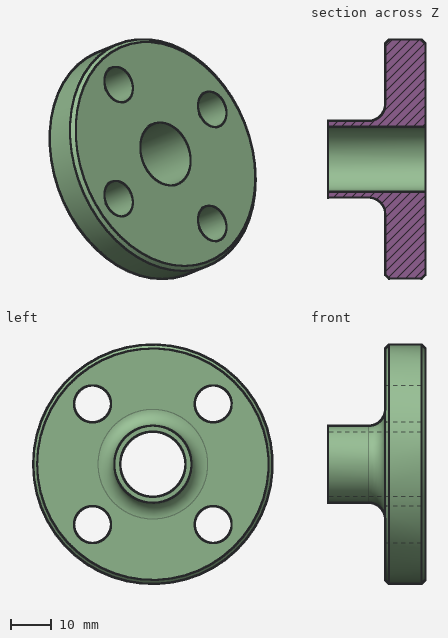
import cadquery as cq

flange_diameter = 59.0
flange_thickness = 10.0
rim_chamfer = 1.0

total_length = 24.0
neck_diameter = 19.0
bore_diameter = 16.0
neck_fillet = 4.0

bolt_hole_count = 4
bolt_hole_diameter = 9.0
bolt_circle_diameter = 42.0
first_bolt_angle = 45

neck_length = total_length - flange_thickness


def make_flange():
    """Disc from x = 0 to the flange thickness, chamfered on both rims."""
    disc = cq.Workplane("YZ").circle(flange_diameter / 2).extrude(flange_thickness)
    return disc.edges().chamfer(rim_chamfer)


def make_neck():
    """Revolved neck that flares into the disc through a concave quarter round."""
    neck_radius = neck_diameter / 2
    flare_radius = neck_radius + neck_fillet
    overlap = flange_thickness / 2
    return (
        cq.Workplane("XY")
        .moveTo(-neck_length, 0)
        .lineTo(-neck_length, neck_radius)
        .lineTo(-neck_fillet, neck_radius)
        .radiusArc((0, flare_radius), -neck_fillet)
        .lineTo(overlap, flare_radius)
        .lineTo(overlap, 0)
        .close()
        .revolve(360, (0, 0, 0), (1, 0, 0))
    )


def make_bore():
    """Straight bore through the whole length."""
    start = cq.Workplane("YZ", origin=(-neck_length, 0, 0))
    return start.circle(bore_diameter / 2).extrude(total_length)


def make_bolt_holes():
    """Plain through holes on the bolt circle."""
    return (
        cq.Workplane("YZ")
        .polarArray(bolt_circle_diameter / 2, first_bolt_angle, 360, bolt_hole_count)
        .circle(bolt_hole_diameter / 2)
        .extrude(flange_thickness)
    )


result = make_flange().union(make_neck()).cut(make_bore()).cut(make_bolt_holes())